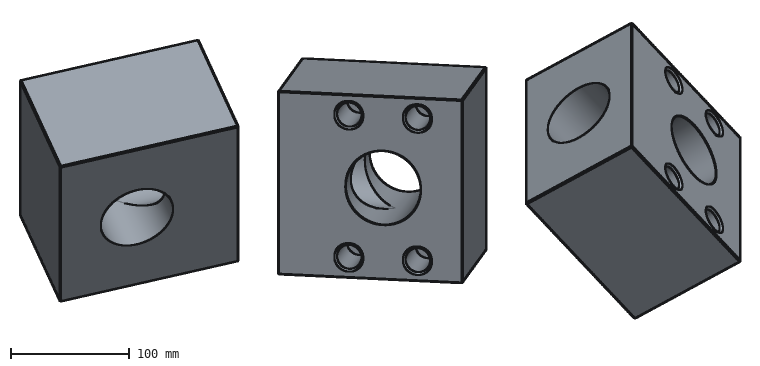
import cadquery as cq

length_x = 110.0
width_y = 158.0
height_z = 160
edge_chamfer = 1.0

bore_diameter = 64
bore_y = -11.0
bore_mouth_chamfer = 0.5

bolt_diameter = 21.0
bolt_mouth_diameter = 25.0
bolt_mouth_chamfer = (bolt_mouth_diameter - bolt_diameter) / 2
bolt_depth = 48
bolt_spacing_y = 58.7
bolt_spacing_z = 123.8


def make_block():
    """Block with all its outer edges broken by a small chamfer."""
    return cq.Workplane("XY").box(length_x, width_y, height_z).edges().chamfer(edge_chamfer)


def hole_from_face(y, z, diameter, depth, mouth_chamfer):
    """Hole running in +X from the -X face, with a 45 degree chamfer at its mouth."""
    start = cq.Vector(-length_x / 2, y, z)
    inward = cq.Vector(1, 0, 0)
    radius = diameter / 2
    shank = cq.Solid.makeCylinder(radius, depth, start, inward)
    mouth = cq.Solid.makeCone(radius + mouth_chamfer, radius, mouth_chamfer, start, inward)
    return shank.fuse(mouth)


def side_bore():
    """Bore from the axis of the main bore out through the +Y face."""
    start = cq.Vector(0, bore_y, 0)
    return cq.Solid.makeCylinder(bore_diameter / 2, width_y / 2 - bore_y, start, cq.Vector(0, 1, 0))


result = make_block()
result = result.cut(hole_from_face(bore_y, 0, bore_diameter, length_x, bore_mouth_chamfer))
result = result.cut(side_bore())
for side_y in (-1, 1):
    for side_z in (-1, 1):
        hole_y = bore_y + side_y * bolt_spacing_y / 2
        hole_z = side_z * bolt_spacing_z / 2
        result = result.cut(hole_from_face(hole_y, hole_z, bolt_diameter, bolt_depth, bolt_mouth_chamfer))